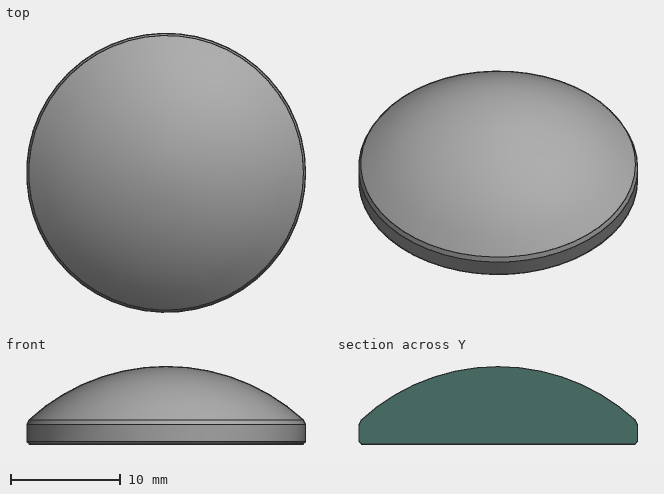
import cadquery as cq

radius = 12.7
height = 7.09
base_bevel = 0.25
rim_top = 1.78
dome_edge_height = 2.2
upper_bevel_width = 0.2

dome_edge_radius = radius - upper_bevel_width
dome_rise = height - dome_edge_height
sphere_radius = (dome_edge_radius**2 + dome_rise**2) / (2 * dome_rise)

mid_radius = dome_edge_radius / 2
mid_height = height - sphere_radius + (sphere_radius**2 - mid_radius**2) ** 0.5

half_section = (
    cq.Workplane("XZ")
    .moveTo(0, 0)
    .lineTo(radius - base_bevel, 0)
    .lineTo(radius, base_bevel)
    .lineTo(radius, rim_top)
    .lineTo(dome_edge_radius, dome_edge_height)
    .threePointArc((mid_radius, mid_height), (0, height))
    .close()
)
result = half_section.revolve(360, (0, 0, 0), (0, 1, 0))